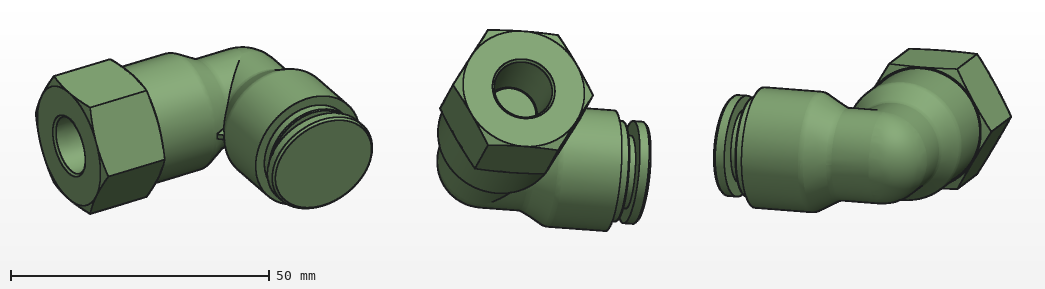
import cadquery as cq
import math

TUBE_RADIUS = 9.05
BARREL_RADIUS = 23.5 / 2
CONE_START = 8.05
CONE_END = 13.0
CONE_ROUNDING = 2.0
LEG_LENGTH = 24.95
WEB_THICKNESS = 1.0
WEB_REACH = 12.5
WEB_OFFSET = 11.5

NUT_FLATS = 24.0
OVERALL_LENGTH = 50.75
NUT_CHAMFER_ANGLE = 20.0
THREAD_MOUTH_RADIUS = 12.4 / 2
THREAD_RADIUS = 11.45 / 2
SPIGOT_RADIUS = 10.65 / 2
SPIGOT_LENGTH = 1.0
SPIGOT_TIP_RADIUS = 10.0 / 2

GLAND_RADIUS = 19.6 / 2
GLAND_LENGTH = 2.0
GLAND_CHAMFER = 0.25
NECK_RADIUS = 14.2 / 2
NECK_LENGTH = 1.7
BUTTON_WIDTH = 22.55
BUTTON_HEIGHT = 19.5
BUTTON_THICKNESS = 2.3
BUTTON_CHAMFER = 0.45

NUT_END = OVERALL_LENGTH - BARREL_RADIUS
GLAND_END = LEG_LENGTH + GLAND_LENGTH
FLANGE_START = GLAND_END + NECK_LENGTH


def turned_about_y(profile):
    """Solid of revolution from (radius, distance along -Y) points."""
    points = [(radius, -distance) for radius, distance in profile]
    return cq.Workplane("XY").polyline(points).close().revolve(360, (0, 0, 0), (0, 1, 0))


def disc_along_x(start, radius, length):
    """Cylinder on the X axis, beginning at x = start."""
    return cq.Workplane("YZ").workplane(offset=start).circle(radius).extrude(length)


def make_leg():
    """One leg along -Y, with a rounded cone between tube and barrel."""
    leg = turned_about_y([
        (0, 0),
        (TUBE_RADIUS, 0),
        (TUBE_RADIUS, CONE_START),
        (BARREL_RADIUS, CONE_END),
        (BARREL_RADIUS, LEG_LENGTH),
        (0, LEG_LENGTH),
    ])
    clearance = 0.5
    reach = BARREL_RADIUS + clearance
    cone_ends = cq.selectors.BoxSelector(
        (-reach, -CONE_END - clearance, -reach),
        (reach, -CONE_START + clearance, reach),
        boundingbox=True,
    )
    return leg.edges(cone_ends).edges("%CIRCLE").fillet(CONE_ROUNDING)


def make_spigot():
    """Short chamfered stub on the -Y leg that fills the inner end of the nut."""
    tip_chamfer = SPIGOT_RADIUS - SPIGOT_TIP_RADIUS
    return turned_about_y([
        (0, LEG_LENGTH),
        (SPIGOT_RADIUS, LEG_LENGTH),
        (SPIGOT_RADIUS, LEG_LENGTH + SPIGOT_LENGTH),
        (SPIGOT_TIP_RADIUS, LEG_LENGTH + SPIGOT_LENGTH + tip_chamfer),
        (0, LEG_LENGTH + SPIGOT_LENGTH + tip_chamfer),
    ])


def make_housing():
    """Both legs, the ball at the corner, the inside web and the spigot."""
    nut_leg = make_leg()
    tube_leg = make_leg().rotate((0, 0, 0), (0, 0, 1), 90)
    ball = cq.Workplane("XY").sphere(TUBE_RADIUS)
    web = (
        cq.Workplane("XY")
        .polyline([(0, 0), (WEB_REACH, -WEB_OFFSET), (WEB_OFFSET, -WEB_REACH)])
        .close()
        .extrude(WEB_THICKNESS / 2, both=True)
    )
    return nut_leg.union(tube_leg).union(ball).union(web).union(make_spigot())


def make_nut():
    """Hexagon nut with trimmed corners and a tapered bore."""
    corner_radius = NUT_FLATS / math.sqrt(3)
    flat_radius = NUT_FLATS / 2
    corner_drop = (corner_radius - flat_radius) * math.tan(math.radians(NUT_CHAMFER_ANGLE))
    hexagon = (
        cq.Workplane("XZ")
        .workplane(offset=LEG_LENGTH)
        .polygon(6, 2 * corner_radius)
        .extrude(NUT_END - LEG_LENGTH)
    )
    blank = turned_about_y([
        (0, LEG_LENGTH),
        (flat_radius, LEG_LENGTH),
        (corner_radius, LEG_LENGTH + corner_drop),
        (corner_radius, NUT_END - corner_drop),
        (flat_radius, NUT_END),
        (0, NUT_END),
    ])
    bore = turned_about_y([
        (0, LEG_LENGTH),
        (SPIGOT_RADIUS, LEG_LENGTH),
        (SPIGOT_RADIUS, LEG_LENGTH + SPIGOT_LENGTH),
        (THREAD_RADIUS, NUT_END - (THREAD_MOUTH_RADIUS - THREAD_RADIUS)),
        (THREAD_MOUTH_RADIUS, NUT_END),
        (0, NUT_END),
    ])
    return hexagon.intersect(blank).cut(bore)


def make_gland():
    """Ring against the end of the +X leg."""
    return disc_along_x(LEG_LENGTH, GLAND_RADIUS, GLAND_LENGTH).faces(">X").chamfer(GLAND_CHAMFER)


def make_button():
    """Round neck carrying an oval flange."""
    neck = disc_along_x(GLAND_END, NECK_RADIUS, NECK_LENGTH)
    flange = (
        cq.Workplane("YZ")
        .workplane(offset=FLANGE_START)
        .ellipse(BUTTON_WIDTH / 2, BUTTON_HEIGHT / 2)
        .extrude(BUTTON_THICKNESS)
        .faces(">X")
        .chamfer(BUTTON_CHAMFER)
    )
    return neck.union(flange)


housing = make_housing()
nut = make_nut()
gland = make_gland()
button = make_button()

result = cq.Compound.makeCompound([housing.val(), nut.val(), gland.val(), button.val()])